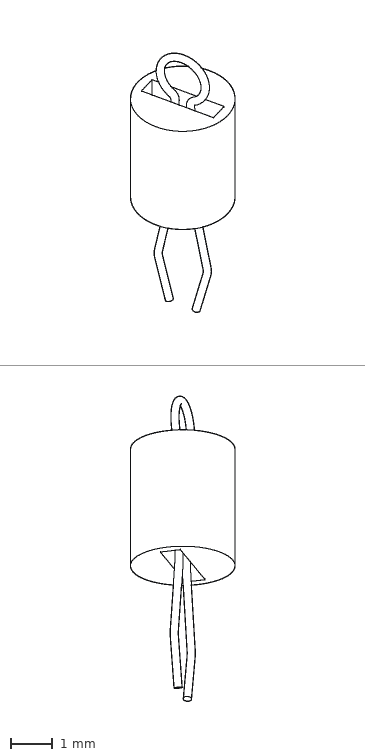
import cadquery as cq
import math

HOUSING_DIAMETER = 2.5
HOUSING_HEIGHT = 3.0
SLOT_LENGTH = 2.0
SLOT_WIDTH = 0.5

WIRE_DIAMETER = 0.2
LOOP_RADIUS = 0.625
LOOP_SWEEP = 300.0
WIRE_TOP = 4.315

NECK_HALF_GAP = 0.21
SHOULDER = cq.Vector(0.305, 0, -0.06)
KNEE = cq.Vector(0.693, 0, -2.0)
TIP = cq.Vector(0.373, 0, -3.28)

SHOULDER_SETBACK = 0.05
KNEE_SETBACK = 0.1


def make_housing():
    slot = cq.Workplane("XY").rect(SLOT_LENGTH, SLOT_WIDTH).extrude(HOUSING_HEIGHT)
    return cq.Workplane("XY").circle(HOUSING_DIAMETER / 2).extrude(HOUSING_HEIGHT).cut(slot)


def bend_points(before, corner, after, setback):
    """Start, middle and end of the arc that rounds a corner, setback away on both straights."""
    to_before = (before - corner).normalized()
    to_after = (after - corner).normalized()
    half_angle = to_before.getAngle(to_after) / 2
    center_distance = setback / math.cos(half_angle)
    radius = setback * math.tan(half_angle)
    bisector = (to_before + to_after).normalized()
    start = corner + to_before * setback
    middle = corner + bisector * (center_distance - radius)
    end = corner + to_after * setback
    return start, middle, end


def make_wire():
    """One round wire, symmetric about the YZ plane, swept from tip to tip."""
    loop_center_height = WIRE_TOP - WIRE_DIAMETER / 2 - LOOP_RADIUS
    end_angle = math.radians(LOOP_SWEEP / 2)
    loop_top = cq.Vector(0, 0, loop_center_height + LOOP_RADIUS)
    loop_end = cq.Vector(
        LOOP_RADIUS * math.sin(end_angle),
        0,
        loop_center_height + LOOP_RADIUS * math.cos(end_angle),
    )
    mirrored_loop_end = cq.Vector(-loop_end.x, 0, loop_end.z)
    loop = cq.Edge.makeThreePointArc(mirrored_loop_end, loop_top, loop_end)

    loop_end_tangent = cq.Vector(math.cos(end_angle), 0, -math.sin(end_angle))
    neck = loop_end + loop_end_tangent * ((NECK_HALF_GAP - loop_end.x) / loop_end_tangent.x)

    neck_setback = (neck - loop_end).Length
    bends = [
        bend_points(loop_end, neck, SHOULDER, neck_setback),
        bend_points(neck, SHOULDER, KNEE, SHOULDER_SETBACK),
        bend_points(SHOULDER, KNEE, TIP, KNEE_SETBACK),
    ]
    next_starts = [bend[0] for bend in bends[1:]] + [TIP]

    leg = []
    for (start, middle, end), next_start in zip(bends, next_starts):
        leg.append(cq.Edge.makeThreePointArc(start, middle, end))
        leg.append(cq.Edge.makeLine(end, next_start))
    mirrored_leg = [edge.mirror("YZ") for edge in leg]
    path = cq.Wire.assembleEdges([*reversed(leg), loop, *mirrored_leg])

    tip_plane = cq.Plane(origin=TIP, xDir=(0, 1, 0), normal=KNEE - TIP)
    return cq.Workplane(tip_plane).circle(WIRE_DIAMETER / 2).sweep(path)


housing = make_housing()
wire = make_wire()
result = cq.Compound.makeCompound([housing.val(), wire.val()])